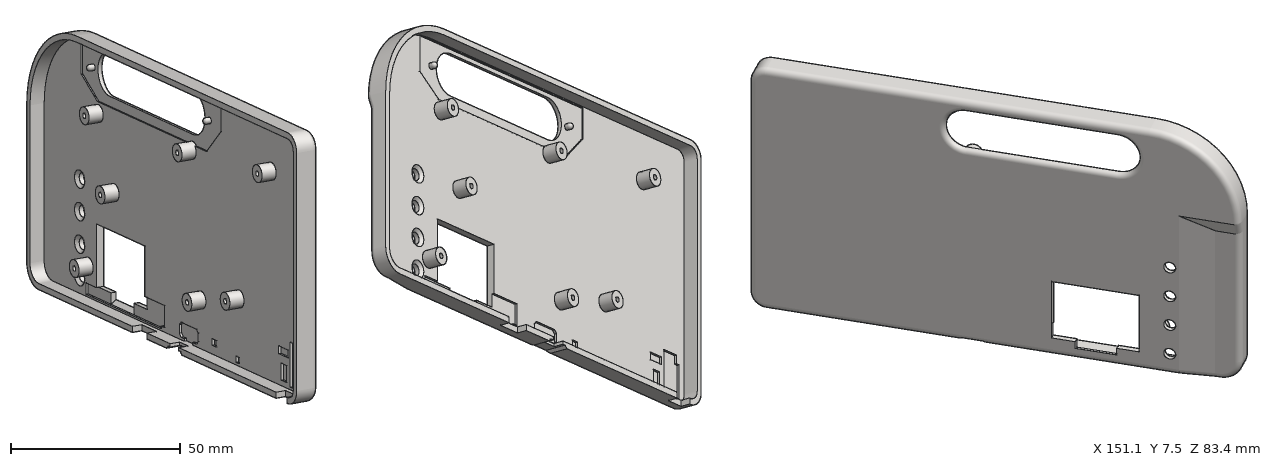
import cadquery as cq
import math


LENGTH = 151.06
HEIGHT = 83.37
DEPTH = 7.5
WALL = 1.9
FLOOR = 2.6
FLOOR_Y = DEPTH - FLOOR
SHOULDER_RADIUS = 28.0
LEFT_FOOT_RADIUS = 6.8
RIGHT_CORNER_RADIUS = 5.1
BACK_ROUND = 1.9

RELIEF_DEPTH = 1.3
RELIEF_FLAT_RIGHT = 8.0
RELIEF_RIGHT = 18.8
RELIEF_FLAT_TOP = 51.5
RELIEF_TOP = 55.5

POST_DIAMETER = 5.4
POST_HOLE_DIAMETER = 1.6
POST_CENTRES = [
    (26.6, 11.5),
    (32.2, 59.9),
    (41.1, 37.8),
    (84.2, 61.6),
    (89.7, 17.0),
    (111.0, 22.7),
    (129.0, 66.5),
]

LIGHT_HOLE_DIAMETER = 3.6
LIGHT_SINK_DIAMETER = 5.6
LIGHT_SINK_DEPTH = (LIGHT_SINK_DIAMETER - LIGHT_HOLE_DIAMETER) / 2
LIGHT_COUNT = 4
LIGHT_PITCH = 10.0
LIGHT_X = 21.7
LIGHT_BOTTOM_Z = 7.0

HANDLE_LEFT = 31.2
HANDLE_RIGHT = 91.0
HANDLE_WIDTH = 13.3
HANDLE_Z = 73.1
HANDLE_BACK_ROUND = 1.5
HANDLE_RECESS_DEPTH = 0.5
HANDLE_RECESS_OUTLINE = [
    (22.6, 81.1),
    (22.6, 69.6),
    (31.7, 63.4),
    (92.7, 63.4),
    (100.8, 71.5),
    (100.8, 81.1),
]
PIN_DIAMETER = 2.0
PIN_SHANK = 1.2
PIN_OFFSET = 2.6

WINDOW_LEFT = 31.1
WINDOW_RIGHT = 58.1
WINDOW_BOTTOM = 6.0
WINDOW_TOP = 25.6
NOTCH_LEFT = 38.0
NOTCH_RIGHT = 50.8
NOTCH_INNER_Z = 2.5
NOTCH_OUTER_Z = 3.7

RECESS_DEPTH = 0.8
CONNECTOR_LEFT = 25.2
CONNECTOR_STEP_X = 67.3
CONNECTOR_RIGHT = 69.1
CONNECTOR_STEP_Z = 3.3
CONNECTOR_TOP = 10.1
SMALL_RECESSES = [
    (95.8, 4.6, 98.1, 6.6),
    (109.2, 2.7, 110.9, 4.6),
    (133.1, 11.4, 138.3, 13.8),
    (134.5, 3.6, 137.4, 8.8),
    (139.5, 2.7, 145.5, 16.5),
    (145.5, 3.1, 146.8, 13.8),
]
USB_RECESS = (77.5, 2.7, 88.1, 7.3)
USB_RECESS_CHAMFER = 1.0

SLOT_DEPTH = 3.3
CARD_SLOT = (59.1, 67.3)
USB_SLOT = (80.3, 84.9)
SWITCH_SLOT = (139.5, 145.6)
USB_FLARE_BOTTOM = (78.3, 86.8)
USB_FLARE_HEIGHT = 0.9


def section(y):
    """Sketch plane at depth y with sketch axes X and Z; positive extrusion runs towards -Y."""
    return cq.Workplane("XZ", origin=(0, y, 0))


def block(x0, z0, x1, z1, y0, y1):
    return cq.Workplane("XY").box(x1 - x0, y1 - y0, z1 - z0, centered=False).translate((x0, y0, z0))


def outline(inset, y):
    """Case outline, moved inwards by the inset."""
    left = inset
    right = LENGTH - inset
    bottom = inset
    top = HEIGHT - inset
    shoulder = SHOULDER_RADIUS - inset
    foot = LEFT_FOOT_RADIUS - inset
    corner = RIGHT_CORNER_RADIUS - inset
    diagonal = 1 - math.sqrt(0.5)
    return (
        section(y)
        .moveTo(left + foot, bottom)
        .lineTo(right - corner, bottom)
        .threePointArc((right - corner * diagonal, bottom + corner * diagonal), (right, bottom + corner))
        .lineTo(right, top - corner)
        .threePointArc((right - corner * diagonal, top - corner * diagonal), (right - corner, top))
        .lineTo(left + shoulder, top)
        .threePointArc((left + shoulder * diagonal, top - shoulder * diagonal), (left, top - shoulder))
        .lineTo(left, bottom + foot)
        .threePointArc((left + foot * diagonal, bottom + foot * diagonal), (left + foot, bottom))
        .close()
    )


def make_relief():
    """Thin slab behind the lower left of the back, with a sloping right end and a sloping top."""
    low_y = DEPTH - RELIEF_DEPTH
    lengthwise = (
        cq.Workplane("XY")
        .moveTo(0, low_y)
        .lineTo(RELIEF_FLAT_RIGHT, low_y)
        .lineTo(RELIEF_RIGHT, DEPTH)
        .lineTo(0, DEPTH)
        .close()
        .extrude(RELIEF_TOP)
    )
    upright = (
        cq.Workplane("YZ")
        .moveTo(low_y, 0)
        .lineTo(DEPTH, 0)
        .lineTo(DEPTH, RELIEF_TOP)
        .lineTo(low_y, RELIEF_FLAT_TOP)
        .close()
        .extrude(RELIEF_RIGHT)
    )
    return lengthwise.intersect(upright)


def make_shell():
    blank = outline(0, DEPTH).extrude(DEPTH).cut(make_relief())
    back_rim = blank.faces("#Y or %CYLINDER").edges("not(|Y or <Y)").vals()
    back_rim.sort(key=lambda edge: (edge.Center().x, edge.Center().z))
    blank = blank.newObject(back_rim).fillet(BACK_ROUND)
    return blank.cut(outline(WALL, FLOOR_Y).extrude(FLOOR_Y))


def make_handle(body):
    """Cut the recess and the opening, round the opening's back edge, then add the two pins."""
    recess = section(FLOOR_Y + HANDLE_RECESS_DEPTH).polyline(HANDLE_RECESS_OUTLINE).close()
    body = body.cut(recess.extrude(HANDLE_RECESS_DEPTH))
    centre = (HANDLE_LEFT + HANDLE_RIGHT) / 2
    opening = section(DEPTH).center(centre, HANDLE_Z).slot2D(HANDLE_RIGHT - HANDLE_LEFT, HANDLE_WIDTH)
    body = body.cut(opening.extrude(DEPTH))
    around_opening = cq.selectors.BoxSelector(
        (HANDLE_LEFT - HANDLE_BACK_ROUND, DEPTH - HANDLE_BACK_ROUND, HANDLE_Z - HANDLE_WIDTH),
        (HANDLE_RIGHT + HANDLE_BACK_ROUND, DEPTH + HANDLE_BACK_ROUND, HEIGHT - BACK_ROUND - HANDLE_BACK_ROUND),
    )
    body = body.faces(">Y").edges(around_opening).fillet(HANDLE_BACK_ROUND)
    pin_places = [(HANDLE_LEFT - PIN_OFFSET, HANDLE_Z), (HANDLE_RIGHT + PIN_OFFSET, HANDLE_Z)]
    shank_y = FLOOR_Y + HANDLE_RECESS_DEPTH
    shanks = section(shank_y).pushPoints(pin_places).circle(PIN_DIAMETER / 2).extrude(PIN_SHANK)
    heads = section(shank_y - PIN_SHANK).pushPoints(pin_places).sphere(PIN_DIAMETER / 2)
    return body.union(shanks).union(heads)


def cut_recesses(body):
    recess_y = FLOOR_Y + RECESS_DEPTH
    for x0, z0, x1, z1 in SMALL_RECESSES:
        body = body.cut(block(x0, z0, x1, z1, FLOOR_Y, recess_y))
    usb = block(*USB_RECESS, FLOOR_Y, recess_y).edges("|Y").chamfer(USB_RECESS_CHAMFER)
    connector = (
        section(recess_y)
        .moveTo(CONNECTOR_LEFT, NOTCH_INNER_Z)
        .lineTo(CONNECTOR_STEP_X, NOTCH_INNER_Z)
        .lineTo(CONNECTOR_STEP_X, CONNECTOR_STEP_Z)
        .lineTo(CONNECTOR_RIGHT, CONNECTOR_STEP_Z)
        .lineTo(CONNECTOR_RIGHT, CONNECTOR_TOP)
        .lineTo(WINDOW_RIGHT, CONNECTOR_TOP)
        .lineTo(WINDOW_RIGHT, WINDOW_BOTTOM)
        .lineTo(CONNECTOR_LEFT, WINDOW_BOTTOM)
        .close()
        .extrude(RECESS_DEPTH)
    )
    usb_lip = block(USB_SLOT[0], WALL, USB_SLOT[1], USB_RECESS[1], FLOOR_Y, recess_y)
    return body.cut(usb).cut(usb_lip).cut(connector)


def cut_window(body):
    """Open the window and its notch, whose lower face slopes up towards the back."""
    body = body.cut(block(WINDOW_LEFT, WINDOW_BOTTOM, WINDOW_RIGHT, WINDOW_TOP, FLOOR_Y, DEPTH))
    notch = (
        cq.Workplane("YZ", origin=(NOTCH_LEFT, 0, 0))
        .moveTo(FLOOR_Y, NOTCH_INNER_Z)
        .lineTo(FLOOR_Y + RECESS_DEPTH, NOTCH_INNER_Z)
        .lineTo(DEPTH, NOTCH_OUTER_Z)
        .lineTo(DEPTH, WINDOW_BOTTOM)
        .lineTo(FLOOR_Y, WINDOW_BOTTOM)
        .close()
        .extrude(NOTCH_RIGHT - NOTCH_LEFT)
    )
    return body.cut(notch)


def cut_wall_openings(body):
    """Notch the rim, with a flared relief under the USB slot running the full depth."""
    for x0, x1 in (CARD_SLOT, USB_SLOT, SWITCH_SLOT):
        body = body.cut(block(x0, 0, x1, WALL, 0, SLOT_DEPTH))
    left, right = USB_FLARE_BOTTOM
    flare = (
        section(DEPTH)
        .moveTo(left, 0)
        .lineTo(right, 0)
        .lineTo(right - USB_FLARE_HEIGHT, USB_FLARE_HEIGHT)
        .lineTo(left + USB_FLARE_HEIGHT, USB_FLARE_HEIGHT)
        .close()
        .extrude(DEPTH)
    )
    return body.cut(flare)


def cut_light_holes(body):
    places = [(LIGHT_X, LIGHT_BOTTOM_Z + i * LIGHT_PITCH) for i in range(LIGHT_COUNT)]
    holes = section(DEPTH).pushPoints(places).circle(LIGHT_HOLE_DIAMETER / 2).extrude(FLOOR)
    body = body.cut(holes)
    for x, z in places:
        sink = cq.Solid.makeCone(
            LIGHT_SINK_DIAMETER / 2,
            LIGHT_HOLE_DIAMETER / 2,
            LIGHT_SINK_DEPTH,
            cq.Vector(x, FLOOR_Y, z),
            cq.Vector(0, 1, 0),
        )
        body = body.cut(cq.Workplane(sink))
    return body


def add_posts(body):
    root_y = FLOOR_Y + max(RECESS_DEPTH, HANDLE_RECESS_DEPTH)
    posts = section(root_y).pushPoints(POST_CENTRES).circle(POST_DIAMETER / 2).extrude(root_y)
    holes = section(FLOOR_Y).pushPoints(POST_CENTRES).circle(POST_HOLE_DIAMETER / 2).extrude(FLOOR_Y)
    return body.union(posts).cut(holes)


result = make_shell()
result = make_handle(result)
result = cut_recesses(result)
result = cut_window(result)
result = cut_wall_openings(result)
result = cut_light_holes(result)
result = add_posts(result)